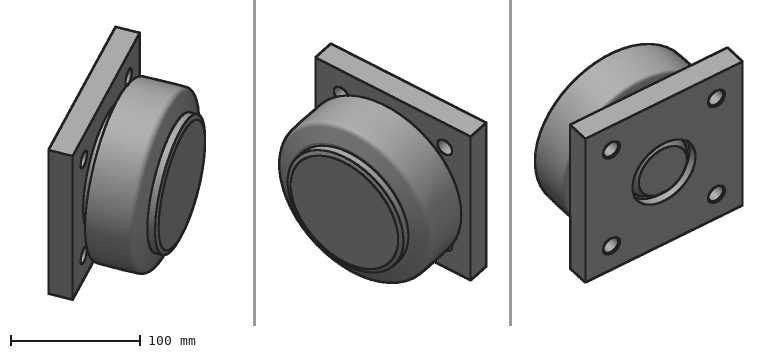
import cadquery as cq
import math

plate_side = 150.0
plate_thickness = 20.0
bolt_spacing = 100.0
bolt_hole_radius = 7.0
bolt_chamfer = 0.9

pin_bore_radius = 30.0
pin_bore_depth = 8.0
pin_end_radius = 23.0
pin_base_radius = 27.6
pin_end_recess = 1.5

overall_length = 82.0
neck_radius = 51.8
hub_radius = 56.0
collar_start = 27.3
hub_chamfer_length = 1.5
hub_chamfer_depth = 4.0
roller_radius = 74.2
crown_rise = 0.3
roller_start = 29.0
roller_end = 74.2
roller_end_radius = 58.5
back_round = 3.0
front_round = 5.0
front_round_start = 65.5
front_taper = math.radians(18.6)


def turned_about_x(profile):
    """Revolve an (X, radius) profile about the X axis."""
    return profile.close().revolve(360, (0, 0, 0), (1, 0, 0))


def make_plate():
    plate = cq.Workplane("YZ").rect(plate_side, plate_side).extrude(plate_thickness)
    holes = (
        cq.Workplane("YZ").rect(bolt_spacing, bolt_spacing, forConstruction=True)
        .vertices().circle(bolt_hole_radius).extrude(plate_thickness)
    )
    countersinks = (
        cq.Workplane("YZ").rect(bolt_spacing, bolt_spacing, forConstruction=True)
        .vertices().circle(bolt_hole_radius + bolt_chamfer).extrude(bolt_chamfer, taper=45)
    )
    bore = cq.Workplane("YZ").circle(pin_bore_radius).extrude(pin_bore_depth)
    return plate.cut(holes).cut(countersinks).cut(bore)


def make_pin_end():
    """Tapered pin end standing on the bore floor, just below the plate's back face."""
    return turned_about_x(
        cq.Workplane("XY").moveTo(pin_end_recess, 0)
        .lineTo(pin_end_recess, pin_end_radius)
        .lineTo(pin_bore_depth, pin_base_radius)
        .lineTo(pin_bore_depth, 0)
    )


def make_hub():
    return turned_about_x(
        cq.Workplane("XY").moveTo(plate_thickness, 0)
        .lineTo(plate_thickness, neck_radius)
        .lineTo(collar_start, neck_radius)
        .lineTo(collar_start, hub_radius)
        .lineTo(overall_length - hub_chamfer_length, hub_radius)
        .lineTo(overall_length, hub_radius - hub_chamfer_depth)
        .lineTo(overall_length, 0)
    )


def front_round_point(angle):
    """Point on the front rounding; the angle is measured from the +X direction."""
    return (
        front_round_start + front_round * math.cos(angle),
        roller_radius - front_round + front_round * math.sin(angle),
    )


def make_roller():
    """Crowned roller with a rounded back edge and a rounded, tapered front edge."""
    middle_angle = (math.pi / 2 + front_taper) / 2
    crown_crest = ((roller_start + back_round + front_round_start) / 2, roller_radius + crown_rise)
    return turned_about_x(
        cq.Workplane("XY").moveTo(roller_start, 0)
        .lineTo(roller_start, roller_radius - back_round)
        .radiusArc((roller_start + back_round, roller_radius), back_round)
        .threePointArc(crown_crest, (front_round_start, roller_radius))
        .threePointArc(front_round_point(middle_angle), front_round_point(front_taper))
        .lineTo(roller_end, roller_end_radius)
        .lineTo(roller_end, 0)
    )


result = make_plate().union(make_pin_end()).union(make_hub()).union(make_roller())